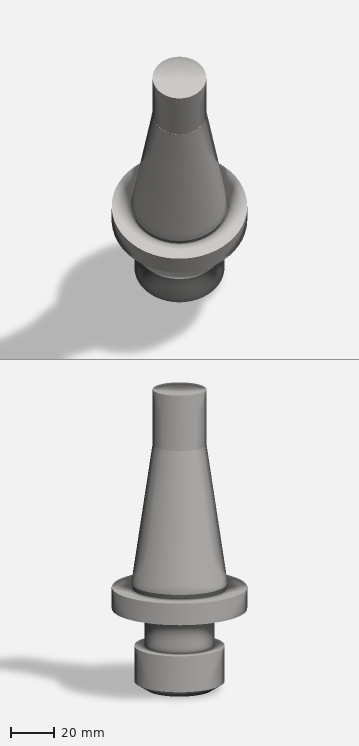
import cadquery as cq

pilot_diameter = 25.0
taper_small_diameter = 25.1
taper_large_diameter = 44.7
relief_diameter = 43.6
flange_groove_diameter = 45.3
flange_diameter = 63.0
neck_diameter = 32.4
nut_diameter = 41.9
nut_end_diameter = 31.0

nut_bevel_top = 3.5
nut_top = 20.6
flange_bottom = 38.3
flange_top = 48.6
relief_top = 49.5
taper_bottom = 50.5
taper_top = 116.9
overall_height = 143.4

neck_fillet_radius = 4.7
flange_groove_depth = 0.6


def cylinder(diameter, bottom, top):
    """Cylinder on the Z axis between two heights."""
    return cq.Workplane("XY").workplane(offset=bottom).circle(diameter / 2).extrude(top - bottom)


def cone(bottom_diameter, top_diameter, bottom, top):
    """Truncated cone on the Z axis between two heights."""
    return (
        cq.Workplane("XY")
        .workplane(offset=bottom)
        .circle(bottom_diameter / 2)
        .workplane(offset=top - bottom)
        .circle(top_diameter / 2)
        .loft(ruled=True)
    )


def filleted_neck():
    """Neck and flange, with the corner under the flange rounded."""
    neck = cylinder(neck_diameter, nut_top, flange_bottom)
    flange = cylinder(flange_diameter, flange_bottom, flange_top)
    body = neck.union(flange)
    neck_rims = body.edges("%CIRCLE").edges(cq.selectors.RadiusNthSelector(0))
    return neck_rims.edges(">Z").fillet(neck_fillet_radius)


nut = cone(nut_end_diameter, nut_diameter, 0, nut_bevel_top).union(
    cylinder(nut_diameter, nut_bevel_top, nut_top)
)

flange_groove = cylinder(flange_groove_diameter, flange_top - flange_groove_depth, flange_top).cut(
    cylinder(relief_diameter, flange_top - flange_groove_depth, flange_top)
)

shank = (
    cylinder(relief_diameter, flange_top, relief_top)
    .union(cone(relief_diameter, taper_large_diameter, relief_top, taper_bottom))
    .union(cone(taper_large_diameter, taper_small_diameter, taper_bottom, taper_top))
    .union(cylinder(pilot_diameter, taper_top, overall_height))
)

result = nut.union(filleted_neck()).cut(flange_groove).union(shank)